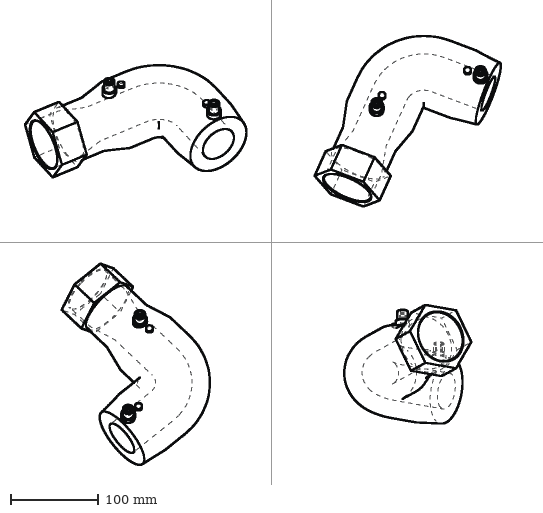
import cadquery as cq
import math


body_radius = 41.5
bend_radius = body_radius
straight_length = 31.3
taper_length = 31.5
plain_end_radius = 38.0

neck_radius = 33.2
neck_length = 33.7
nut_length = 33.5
nut_across_flats = 70.0

bore_radius = 20.9
socket_radius = 29.2
mouth_radius = 30.0
mouth_chamfer = mouth_radius - socket_radius

terminal_radius = 6.2
terminal_top = 56.0
terminal_chamfer = 0.6
collar_radius = 8.0
collar_top = 43.9
terminal_bore_radius = 3.8
terminal_bore_depth = 8.5
contact_radius = 2.5
contact_drop = 2.5
contact_chamfer = 0.53
indicator_radius = 4.0
indicator_top = 44.5
indicator_spacing = 16.0
terminal_edge_offset = 9.8
stud_root = 29.8

taper_start = bend_radius + straight_length
taper_end = taper_start + taper_length
nut_start = taper_end + neck_length
nut_face = nut_start + nut_length


def nut_leg_revolve(profile):
    """Revolve (radius, distance) points about the nut leg axis."""
    points = [(radius, -distance) for radius, distance in profile]
    return cq.Workplane("XY").polyline(points).close().revolve(360, (0, 0), (0, 1))


def plain_leg_revolve(profile):
    """Revolve (radius, distance) points about the plain leg axis."""
    points = [(distance, radius) for radius, distance in profile]
    return cq.Workplane("XY").polyline(points).close().revolve(360, (0, 0), (1, 0))


def bend(radius):
    """Quarter-turn bend joining the two legs."""
    return (
        cq.Workplane("XZ", origin=(0, -bend_radius, 0))
        .circle(radius)
        .revolve(90, (bend_radius, 0), (bend_radius, -1))
    )


def outer_body():
    nut_leg = nut_leg_revolve([
        (0, bend_radius),
        (body_radius, bend_radius),
        (body_radius, taper_start),
        (neck_radius, taper_end),
        (neck_radius, nut_start),
        (0, nut_start),
    ])
    plain_leg = plain_leg_revolve([
        (0, bend_radius),
        (body_radius, bend_radius),
        (body_radius, taper_start),
        (plain_end_radius, taper_end),
        (0, taper_end),
    ])
    across_corners = nut_across_flats / math.cos(math.pi / 6)
    nut = (
        cq.Workplane("XZ", origin=(0, -nut_start, 0))
        .polygon(6, across_corners)
        .extrude(nut_length)
    )
    return bend(body_radius).union(nut_leg).union(plain_leg).union(nut)


def through_bore():
    nut_leg = nut_leg_revolve([
        (0, bend_radius),
        (bore_radius, bend_radius),
        (bore_radius, taper_end),
        (socket_radius, nut_start),
        (socket_radius, nut_face - mouth_chamfer),
        (mouth_radius, nut_face),
        (0, nut_face),
    ])
    plain_leg = plain_leg_revolve([
        (0, bend_radius),
        (bore_radius, bend_radius),
        (bore_radius, taper_end),
        (0, taper_end),
    ])
    return nut_leg.union(bend(bore_radius)).union(plain_leg)


def stud(x, y, radius, top):
    """Upright cylinder from inside the wall up to the given height."""
    return cq.Workplane("XY", origin=(x, y, stud_root)).circle(radius).extrude(top - stud_root)


def terminal(x, y):
    """Hollow terminal with a collar and a central contact."""
    shroud = stud(x, y, terminal_radius, terminal_top).faces(">Z").chamfer(terminal_chamfer)
    socket_floor = terminal_top - terminal_bore_depth
    socket = (
        cq.Workplane("XY", origin=(x, y, socket_floor))
        .circle(terminal_bore_radius)
        .extrude(terminal_bore_depth)
    )
    contact = stud(x, y, contact_radius, terminal_top - contact_drop).faces(">Z").chamfer(contact_chamfer)
    return shroud.cut(socket).union(stud(x, y, collar_radius, collar_top)).union(contact)


nut_leg_terminal = taper_start + terminal_edge_offset
plain_leg_terminal = taper_end - terminal_edge_offset

result = outer_body().cut(through_bore())
for direction, distance in [((0, -1), nut_leg_terminal), ((1, 0), plain_leg_terminal)]:
    indicator_distance = distance - indicator_spacing
    result = result.union(terminal(direction[0] * distance, direction[1] * distance))
    result = result.union(
        stud(
            direction[0] * indicator_distance,
            direction[1] * indicator_distance,
            indicator_radius,
            indicator_top,
        )
    )